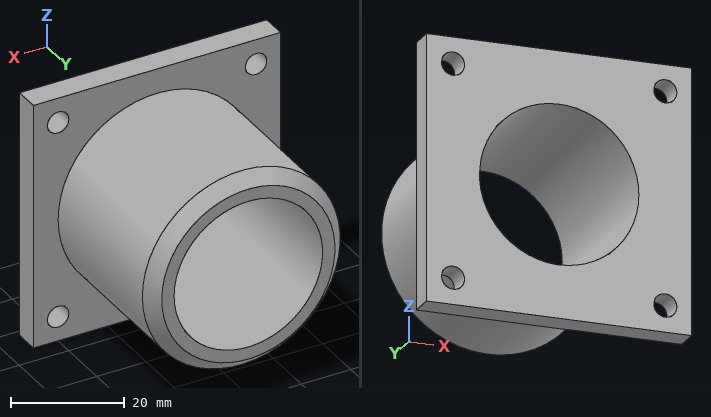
import cadquery as cq

flange_side = 50.0
flange_thickness = 5.0

overall_length = 37.5
sleeve_diameter = 40.0
bore_diameter = 30.0
sleeve_chamfer = 2.5

hole_diameter = 4.3
hole_spacing = 40.0


def cylinder_along_y(diameter, length):
    """Cylinder on the Y axis, starting at Y = 0 and running toward +Y."""
    return cq.Workplane("XZ").circle(diameter / 2).extrude(-length)


def make_flange():
    """Square plate with a through hole near each corner."""
    plate = cq.Workplane("XZ").rect(flange_side, flange_side).extrude(-flange_thickness)
    holes = (
        cq.Workplane("XZ")
        .rect(hole_spacing, hole_spacing, forConstruction=True)
        .vertices()
        .circle(hole_diameter / 2)
        .extrude(-flange_thickness)
    )
    return plate.cut(holes)


def make_sleeve():
    """Solid cylinder with a chamfered free end."""
    sleeve = cylinder_along_y(sleeve_diameter, overall_length)
    return sleeve.faces(">Y").edges().chamfer(sleeve_chamfer)


bore = cylinder_along_y(bore_diameter, overall_length)
result = make_flange().union(make_sleeve()).cut(bore)